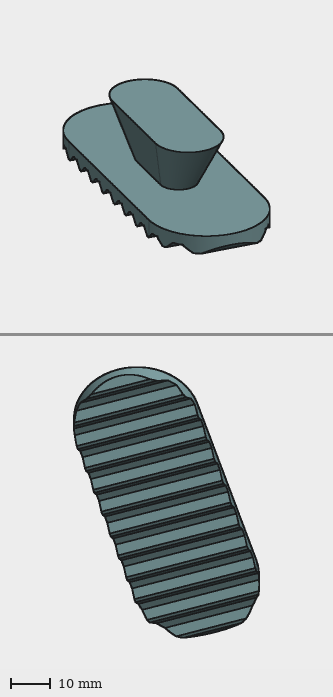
import cadquery as cq

plate_length = 82.0
plate_width = 32.0
plate_thickness = 3.0

tooth_count = 12
tooth_height = 2.0
tooth_root_width = 5.0
tooth_tip_width = 1.0
tooth_pitch = (plate_length - tooth_root_width) / (tooth_count - 1)

grip_height = 15.0
grip_foot_length = 25.1
grip_foot_width = 10.0
grip_top_length = 44.9
grip_top_width = 18.0

plate_top = tooth_height + plate_thickness


def make_plate():
    """Plate outline through the full depth, including the tooth layer."""
    return cq.Workplane("XY").slot2D(plate_length, plate_width).extrude(plate_top)


def make_tooth_profile():
    """Side profile of the plate with its row of teeth, extruded across the width."""
    points = [(-plate_length / 2, plate_top)]
    for index in range(tooth_count):
        center = (index - (tooth_count - 1) / 2) * tooth_pitch
        points += [
            (center - tooth_root_width / 2, tooth_height),
            (center - tooth_tip_width / 2, 0),
            (center + tooth_tip_width / 2, 0),
            (center + tooth_root_width / 2, tooth_height),
        ]
    points.append((plate_length / 2, plate_top))
    return cq.Workplane("XZ").polyline(points).close().extrude(plate_width / 2, both=True)


def make_grip():
    """Loft from the small foot on the plate to the larger flat top."""
    return (
        cq.Workplane("XY", origin=(0, 0, plate_top))
        .slot2D(grip_foot_length, grip_foot_width)
        .workplane(offset=grip_height)
        .slot2D(grip_top_length, grip_top_width)
        .loft(ruled=True)
    )


result = make_plate().intersect(make_tooth_profile()).union(make_grip())